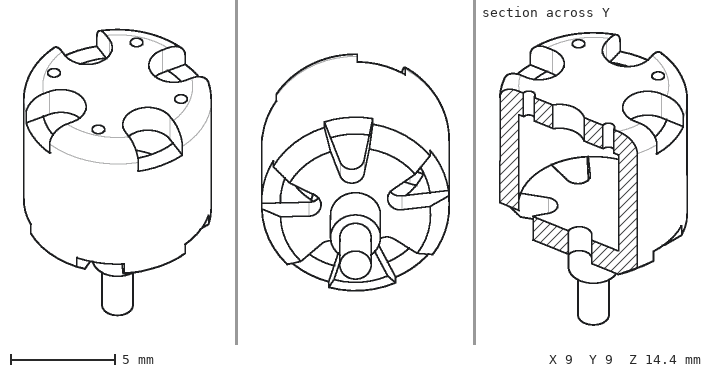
import cadquery as cq
import math

bell_radius = 4.5
bell_height = 9.0
plate_thickness = 1.5
wall_thickness = 0.9
edge_size = wall_thickness
cavity_radius = bell_radius - wall_thickness

collar_diameter = 2.4
collar_length = 2.4
shaft_diameter = 1.5
shaft_length = 3.0

top_slot_count = 4
top_slot_width = 2.4
top_slot_center_radius = 3.07

screw_hole_count = 4
screw_hole_diameter = 0.6
screw_hole_offset = 2.25
screw_circle_radius = math.hypot(screw_hole_offset, screw_hole_offset)
screw_start_angle = 45.0

vent_count = 5
vent_start_angle = 18.0
vent_span_angle = 30.0
vent_round_radius = 0.6

clearance = 1.0


def make_bell():
    """Drum with rounded top edge, chamfered bottom edge and a closed cavity."""
    drum = cq.Workplane("XY").circle(bell_radius).extrude(bell_height)
    drum = drum.faces(">Z").edges().fillet(edge_size)
    drum = drum.faces("<Z").edges().chamfer(edge_size)
    cavity_height = bell_height - 2 * plate_thickness
    cavity = (
        cq.Workplane("XY")
        .workplane(offset=plate_thickness)
        .circle(cavity_radius)
        .extrude(cavity_height)
    )
    return drum.cut(cavity)


def make_shaft():
    """Collar and thinner shaft hanging from the bottom plate."""
    collar = cq.Workplane("XY").circle(collar_diameter / 2).extrude(-collar_length)
    shaft = (
        cq.Workplane("XY")
        .workplane(offset=-collar_length)
        .circle(shaft_diameter / 2)
        .extrude(-shaft_length)
    )
    return collar.union(shaft)


def make_top_slot():
    """Cutter along +X: straight sides with a semicircular inner end."""
    half_width = top_slot_width / 2
    outer_x = bell_radius + clearance
    return (
        cq.Workplane("XY")
        .workplane(offset=bell_height - plate_thickness)
        .moveTo(outer_x, half_width)
        .lineTo(top_slot_center_radius, half_width)
        .threePointArc(
            (top_slot_center_radius - half_width, 0),
            (top_slot_center_radius, -half_width),
        )
        .lineTo(outer_x, -half_width)
        .close()
        .extrude(plate_thickness)
    )


def make_vent():
    """Cutter centred on +X: radial sides joined by a tangent arc at the inner end."""
    half_angle = math.radians(vent_span_angle / 2)
    round_center_x = vent_round_radius / math.sin(half_angle)
    tangent_length = vent_round_radius / math.tan(half_angle)
    tangent_x = tangent_length * math.cos(half_angle)
    tangent_y = tangent_length * math.sin(half_angle)
    outer_x = bell_radius + clearance
    outer_y = outer_x * math.tan(half_angle)
    return (
        cq.Workplane("XY")
        .moveTo(outer_x, outer_y)
        .lineTo(tangent_x, tangent_y)
        .threePointArc((round_center_x - vent_round_radius, 0), (tangent_x, -tangent_y))
        .lineTo(outer_x, -outer_y)
        .close()
        .extrude(plate_thickness)
    )


def cut_around(body, cutter, count, first_angle):
    """Cut equally spaced copies of a cutter, turned about the Z axis."""
    for index in range(count):
        angle = first_angle + index * 360.0 / count
        body = body.cut(cutter.rotate((0, 0, 0), (0, 0, 1), angle))
    return body


def make_screw_hole():
    """Cutter on +X through the thickness of the top plate."""
    return (
        cq.Workplane("XY")
        .workplane(offset=bell_height - plate_thickness)
        .center(screw_circle_radius, 0)
        .circle(screw_hole_diameter / 2)
        .extrude(plate_thickness)
    )


bell = make_bell()
bell = cut_around(bell, make_top_slot(), top_slot_count, 0.0)
bell = cut_around(bell, make_screw_hole(), screw_hole_count, screw_start_angle)
bell = cut_around(bell, make_vent(), vent_count, vent_start_angle + vent_span_angle / 2)

result = bell.union(make_shaft())